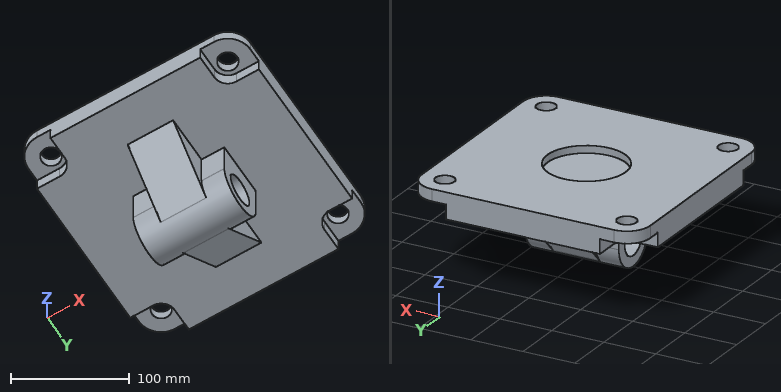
import cadquery as cq
import math

plate_side = 220.0
plate_thickness = 25.0
corner_radius = 22.5

hole_diameter = 18.0
hole_inset = 22.5
flange_thickness = 11.5
notch_radius = 13.5
notch_side = hole_inset + notch_radius

recess_diameter = 75.0
recess_depth = 7.0

total_height = 85.0
lug_radius = 25.0
lug_width = 90.2
pin_diameter = 30.0
pin_z = lug_radius - total_height
rib_width = 45.0
rib_angle = math.radians(45)


def extrude_along_x(profile, width):
    """Extrude a YZ profile symmetrically about X = 0."""
    return profile.extrude(width / 2, both=True)


def make_plate():
    plate = (
        cq.Workplane("XY")
        .box(plate_side, plate_side, plate_thickness, centered=(True, True, False))
        .translate((0, 0, -plate_thickness))
        .edges("|Z")
        .fillet(corner_radius)
    )
    notch_height = plate_thickness - flange_thickness
    notch_center = (plate_side - notch_side) / 2
    for x_sign in (-1, 1):
        for y_sign in (-1, 1):
            inner_edge = f"{'<' if x_sign > 0 else '>'}X and {'<' if y_sign > 0 else '>'}Y"
            notch = (
                cq.Workplane("XY")
                .box(notch_side, notch_side, notch_height, centered=(True, True, False))
                .edges("|Z and " + inner_edge)
                .fillet(notch_radius)
                .translate((x_sign * notch_center, y_sign * notch_center, -plate_thickness))
            )
            plate = plate.cut(notch)
    return plate


def make_lug():
    profile = (
        cq.Workplane("YZ")
        .moveTo(-lug_radius, -plate_thickness)
        .lineTo(-lug_radius, pin_z)
        .threePointArc((0, pin_z - lug_radius), (lug_radius, pin_z))
        .lineTo(lug_radius, -plate_thickness)
        .close()
    )
    return extrude_along_x(profile, lug_width)


def make_rib():
    tangent_y = lug_radius * math.sin(rib_angle)
    tangent_z = pin_z - lug_radius * math.cos(rib_angle)
    base_y = tangent_y + (-plate_thickness - tangent_z) / math.tan(rib_angle)
    profile = (
        cq.Workplane("YZ")
        .moveTo(-base_y, -plate_thickness)
        .lineTo(-tangent_y, tangent_z)
        .lineTo(tangent_y, tangent_z)
        .lineTo(base_y, -plate_thickness)
        .close()
    )
    return extrude_along_x(profile, rib_width)


def make_pin_hole():
    profile = cq.Workplane("YZ").center(0, pin_z).circle(pin_diameter / 2)
    return extrude_along_x(profile, lug_width)


def make_mounting_holes():
    hole_spacing = plate_side - 2 * hole_inset
    return (
        cq.Workplane("XY")
        .rect(hole_spacing, hole_spacing, forConstruction=True)
        .vertices()
        .circle(hole_diameter / 2)
        .extrude(-plate_thickness)
    )


def make_recess():
    return cq.Workplane("XY").circle(recess_diameter / 2).extrude(-recess_depth)


body = make_plate().union(make_lug()).union(make_rib())
result = body.cut(make_pin_hole()).cut(make_mounting_holes()).cut(make_recess())